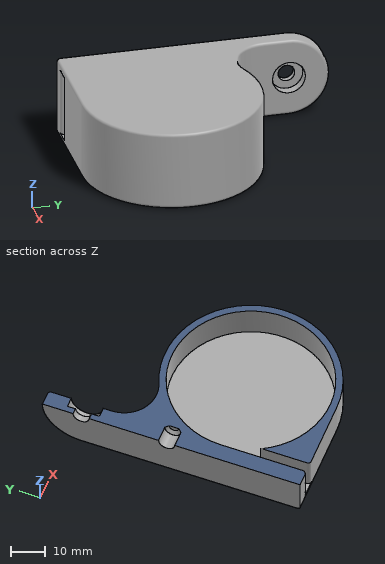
import cadquery as cq
import math

width = 56.25
length = 79.8
height = 24.0
plate_thickness = 5.0
edge_radius = 1.0

drum_radius = 26.65
drum_x = width - drum_radius
drum_y = drum_radius
blend_radius = 10.0
blend_x = plate_thickness + blend_radius
blend_y = drum_y + math.sqrt((drum_radius + blend_radius) ** 2 - (drum_x - blend_x) ** 2)

wall = 1.9
cavity_height = height - 2 * wall
slot_left = 5.2
slot_right = 8.0
cavity_radius = drum_x - slot_left
left_lip_radius = 1.3
right_lip_radius = 1.0

tip_radius = height / 2
ear_hole_diameter = 4.9
ear_bore_depth = 2.0
ear_head_diameter = 9.7
recess_y = 41.3
recess_bore_diameter = 4.9
recess_floor_diameter = 2.9
recess_bore_depth = 5.0
recess_taper_depth = 0.95


def body():
    """Plate and drum outline, with a round ear end and rounded outer edges."""
    share = drum_radius / (drum_radius + blend_radius)
    joint = (drum_x + share * (blend_x - drum_x), drum_y + share * (blend_y - drum_y))
    joint_angle = math.atan2(drum_y - blend_y, drum_x - blend_x)
    blend_angle = (joint_angle - math.pi) / 2
    blend_mid = (
        blend_x + blend_radius * math.cos(blend_angle),
        blend_y + blend_radius * math.sin(blend_angle),
    )
    outline = (
        cq.Workplane("XY")
        .moveTo(0, 0)
        .lineTo(drum_x, 0)
        .threePointArc((drum_x + drum_radius, drum_y), joint)
        .threePointArc(blend_mid, (plate_thickness, blend_y))
        .lineTo(plate_thickness, length)
        .lineTo(0, length)
        .close()
        .extrude(height / 2, both=True)
    )
    side_shape = (
        cq.Workplane("YZ")
        .moveTo(0, -height / 2)
        .lineTo(length - tip_radius, -height / 2)
        .threePointArc((length, 0), (length - tip_radius, height / 2))
        .lineTo(0, height / 2)
        .close()
        .extrude(width)
    )
    solid = outline.intersect(side_shape)
    rim_point = (drum_x / 2, 0, height / 2)
    rim = solid.edges(cq.selectors.NearestToPointSelector(rim_point))
    return rim.fillet(edge_radius)


def cavity():
    """Round chamber with a tangential slot whose mouth has rounded lips."""
    chamber = (
        cq.Workplane("XY")
        .center(drum_x, drum_y)
        .circle(cavity_radius)
        .extrude(cavity_height / 2, both=True)
    )
    lip_inset = 1 - math.sqrt(0.5)
    left_inset = left_lip_radius * lip_inset
    right_inset = right_lip_radius * lip_inset
    slot = (
        cq.Workplane("XY")
        .moveTo(slot_left - left_lip_radius, 0)
        .threePointArc((slot_left - left_inset, left_inset), (slot_left, left_lip_radius))
        .lineTo(slot_left, drum_y)
        .lineTo(slot_right, drum_y)
        .lineTo(slot_right, right_lip_radius)
        .threePointArc((slot_right + right_inset, right_inset), (slot_right + right_lip_radius, 0))
        .close()
        .extrude(cavity_height / 2, both=True)
    )
    return chamber.union(slot)


def ear_hole():
    """Screw hole through the ear, with a wider seat for the screw head on the drum side."""
    position = cq.Workplane("YZ").center(length - tip_radius, 0)
    shank = position.circle(ear_hole_diameter / 2).extrude(plate_thickness)
    head = (
        position.workplane(offset=ear_bore_depth)
        .circle(ear_head_diameter / 2)
        .extrude(plate_thickness - ear_bore_depth)
    )
    return shank.union(head)


def pin_recess():
    """Blind bore in the mounting face, with a tapered end and a flat floor."""
    position = cq.Workplane("YZ").center(recess_y, 0)
    bore = position.circle(recess_bore_diameter / 2).extrude(recess_bore_depth)
    taper = (
        position.workplane(offset=recess_bore_depth)
        .circle(recess_bore_diameter / 2)
        .workplane(offset=recess_taper_depth)
        .circle(recess_floor_diameter / 2)
        .loft()
    )
    return bore.union(taper)


result = body().cut(cavity()).cut(ear_hole()).cut(pin_recess())